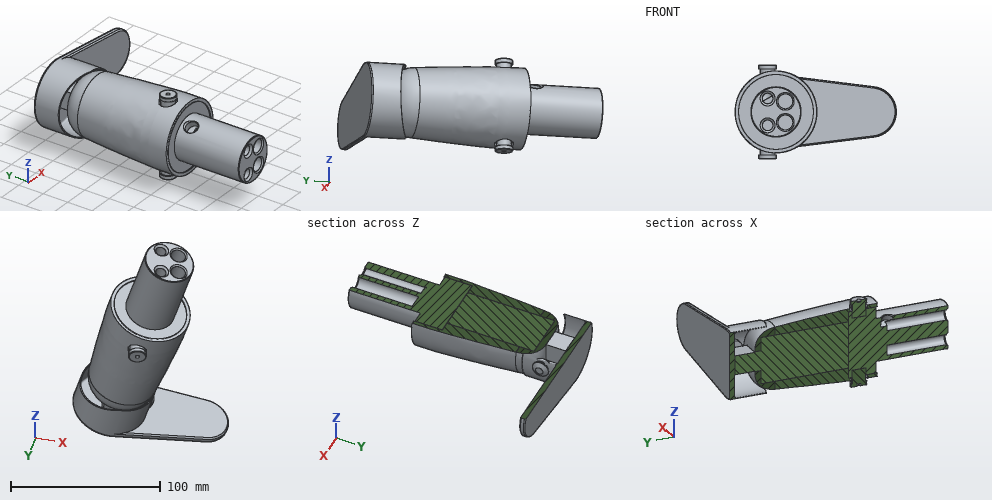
import cadquery as cq
import math

TOTAL_LENGTH = 160.8

SHANK_RADIUS = 16.9
SHANK_CHAMFER = 0.5
FLANGE_RADIUS = 25.0
FLANGE_RECESS = 0.8

SMALL_BORE_X = -5.6
SMALL_BORE_Z = 9.0
SMALL_BORE_RADIUS = 3.5
SMALL_BORE_MOUTH_RADIUS = 5.0
PORT_Y = 44.8
PORT_ANGLE = 30.0
PORT_RADIUS = 4.5
PORT_MOUTH_RADIUS = 5.6

LARGE_BORE_X = 6.3
LARGE_BORE_Z = 7.0
LARGE_BORE_RADIUS = 5.0
LARGE_BORE_MOUTH_RADIUS = 6.0

HOUSING_RADIUS = 27.5
HOUSING_BOTTOM_Y = 52.0
COLLAR_TOP_Y = 66.4
SHOULDER_Y = 73.3
SHOULDER_RADIUS = 27.2
HOUSING_TOP_Y = 127.2
HOUSING_TOP_RADIUS = 23.6
HOUSING_BULGE = 0.24

BUTTON_X = -5.6
BUTTON_Y = 65.6
BUTTON_SPAN = 63.2
BUTTON_TIP_Z = BUTTON_SPAN / 2
BUTTON_HEAD_RADIUS = 6.0
BUTTON_HEAD_HEIGHT = 2.9
BUTTON_HEAD_CHAMFER = 0.5
BUTTON_NECK_RADIUS = 5.0
BUTTON_SEAT_Z = 19.3
BUTTON_CLEARANCE_RADIUS = 6.3
BUTTON_SOCKET_RADIUS = 1.3
BUTTON_SOCKET_DEPTH = 1.6

NUT_HEIGHT = 15.0
NUT_CROWN_RADIUS = 10.5
NUT_ROOF_THICKNESS = 4.8

CARTRIDGE_RADIUS = 17.7
STEM_SIDE = 14.1

CAP_X = -1.3
CAP_RADIUS = 25.0
CAP_WALL = 0.8
CAP_BOTTOM_Y = 132.0
CAP_CUT_TOP_Y = 141.0
CAP_CEILING_FILLET = 1.3
LEVER_END_X = 63.7
LEVER_END_RADIUS = 17.0
LEVER_THICKNESS = 4.2
LEVER_CHAMFER = 1.0
LEVER_TOP_CHAMFER_WIDTH = 0.3

PLUG_Y = 145.6
PLUG_RADIUS = 6.0
PLUG_INNER_X = 19.3
PLUG_EDGE_X = 23.8
PLUG_TIP_X = 25.5
PLUG_TIP_RADIUS = 2.7

FLANGE_BOTTOM_Y = HOUSING_BOTTOM_Y + FLANGE_RECESS
NUT_TOP_Y = HOUSING_TOP_Y + NUT_HEIGHT
CARTRIDGE_TOP_Y = NUT_TOP_Y - NUT_ROOF_THICKNESS
CAP_CEILING_Y = TOTAL_LENGTH - LEVER_THICKNESS


def cylinder(start, direction, length, radius):
    """Round bar from a start point along a direction."""
    return cq.Workplane(cq.Solid.makeCylinder(radius, length, cq.Vector(*start), cq.Vector(*direction)))


def along_y(radius, bottom, top, x=0.0):
    """Round bar parallel to Y between two heights."""
    return cylinder((x, bottom, 0), (0, 1, 0), top - bottom, radius)


def revolve_about_y(profile):
    """Full turn of an XY profile about the Y axis."""
    return profile.close().revolve(360, (0, 0, 0), (0, 1, 0))


def countersunk_cutter(start, direction, length, radius, mouth_radius):
    """Round hole cutter whose mouth at the start is widened by a 45 degree cone."""
    mouth_depth = mouth_radius - radius
    cone = cq.Solid.makeCone(mouth_radius, radius, mouth_depth, cq.Vector(*start), cq.Vector(*direction))
    return cylinder(start, direction, length, radius).union(cq.Workplane(cone))


def waterways(side):
    """Small and large bores on the side Z > 0 (side = 1) or Z < 0 (side = -1)."""
    small = countersunk_cutter(
        (SMALL_BORE_X, 0, side * SMALL_BORE_Z), (0, 1, 0), PORT_Y,
        SMALL_BORE_RADIUS, SMALL_BORE_MOUTH_RADIUS,
    )
    large = countersunk_cutter(
        (LARGE_BORE_X, 0, side * LARGE_BORE_Z), (0, 1, 0), PORT_Y,
        LARGE_BORE_RADIUS, LARGE_BORE_MOUTH_RADIUS,
    )
    return small.union(large)


def slanted_port():
    """Radial hole from the side of the shank into the upper small bore."""
    outward_x = -math.sin(math.radians(PORT_ANGLE))
    outward_z = math.cos(math.radians(PORT_ANGLE))
    depth = SHANK_RADIUS - math.hypot(SMALL_BORE_X, SMALL_BORE_Z)
    return countersunk_cutter(
        (SHANK_RADIUS * outward_x, PORT_Y, SHANK_RADIUS * outward_z), (-outward_x, 0, -outward_z),
        depth, PORT_RADIUS, PORT_MOUTH_RADIUS,
    )


def button_seat(side):
    """Socket for a button's neck in the flange."""
    return cylinder(
        (BUTTON_X, BUTTON_Y, side * BUTTON_SEAT_Z), (0, 0, side), BUTTON_TIP_Z - BUTTON_SEAT_Z, BUTTON_NECK_RADIUS
    )


def make_base():
    shank = along_y(SHANK_RADIUS, 0, FLANGE_BOTTOM_Y).faces("<Y").chamfer(SHANK_CHAMFER)
    base = shank.union(along_y(FLANGE_RADIUS, FLANGE_BOTTOM_Y, SHOULDER_Y))
    for side in (1, -1):
        base = base.cut(waterways(side)).cut(button_seat(side))
    return base.cut(slanted_port())


def make_housing():
    waist_radius = (SHOULDER_RADIUS + HOUSING_TOP_RADIUS) / 2 + HOUSING_BULGE
    housing = revolve_about_y(
        cq.Workplane("XY")
        .moveTo(CARTRIDGE_RADIUS, HOUSING_TOP_Y)
        .lineTo(CARTRIDGE_RADIUS, SHOULDER_Y)
        .lineTo(FLANGE_RADIUS, SHOULDER_Y)
        .lineTo(FLANGE_RADIUS, HOUSING_BOTTOM_Y)
        .lineTo(HOUSING_RADIUS, HOUSING_BOTTOM_Y)
        .lineTo(HOUSING_RADIUS, COLLAR_TOP_Y)
        .lineTo(SHOULDER_RADIUS, SHOULDER_Y)
        .threePointArc((waist_radius, (SHOULDER_Y + HOUSING_TOP_Y) / 2), (HOUSING_TOP_RADIUS, HOUSING_TOP_Y))
    )
    for side in (1, -1):
        housing = housing.cut(
            cylinder((BUTTON_X, BUTTON_Y, 0), (0, 0, side), BUTTON_TIP_Z, BUTTON_CLEARANCE_RADIUS)
        )
    return housing


def make_button(side):
    head_base_z = BUTTON_TIP_Z - BUTTON_HEAD_HEIGHT
    neck_length = head_base_z - BUTTON_SEAT_Z
    neck = cylinder((BUTTON_X, BUTTON_Y, side * BUTTON_SEAT_Z), (0, 0, side), neck_length, BUTTON_NECK_RADIUS)
    head = cylinder(
        (BUTTON_X, BUTTON_Y, side * head_base_z), (0, 0, side), BUTTON_HEAD_HEIGHT, BUTTON_HEAD_RADIUS
    )
    head = head.faces(">Z" if side > 0 else "<Z").chamfer(BUTTON_HEAD_CHAMFER)
    socket = cylinder(
        (BUTTON_X, BUTTON_Y, side * BUTTON_TIP_Z), (0, 0, -side), BUTTON_SOCKET_DEPTH, BUTTON_SOCKET_RADIUS
    )
    return neck.union(head).cut(socket)


def square_stem(bottom, top):
    """Square bar on the Y axis between two heights."""
    return cq.Workplane("XZ", origin=(0, bottom, 0)).rect(STEM_SIDE, STEM_SIDE).extrude(bottom - top)


def make_nut():
    blank = revolve_about_y(
        cq.Workplane("XY")
        .moveTo(0, HOUSING_TOP_Y)
        .lineTo(HOUSING_TOP_RADIUS, HOUSING_TOP_Y)
        .ellipseArc(
            HOUSING_TOP_RADIUS - NUT_CROWN_RADIUS, NUT_HEIGHT, angle1=0, angle2=90, sense=1, startAtCurrent=True
        )
        .lineTo(0, NUT_TOP_Y)
    )
    bore = along_y(CARTRIDGE_RADIUS, HOUSING_TOP_Y, CARTRIDGE_TOP_Y)
    return blank.cut(bore).cut(square_stem(HOUSING_TOP_Y, NUT_TOP_Y))


def make_cartridge():
    barrel = along_y(CARTRIDGE_RADIUS, SHOULDER_Y, CARTRIDGE_TOP_Y)
    return barrel.union(square_stem(SHOULDER_Y, CAP_CEILING_Y))


def lever_blank():
    """Outline of two circles joined by their common tangents, thickened along Y."""
    slope = math.asin((CAP_RADIUS - LEVER_END_RADIUS) / (LEVER_END_X - CAP_X))
    cap_tangent = (CAP_X + CAP_RADIUS * math.sin(slope), CAP_RADIUS * math.cos(slope))
    end_tangent = (LEVER_END_X + LEVER_END_RADIUS * math.sin(slope), LEVER_END_RADIUS * math.cos(slope))
    return (
        cq.Workplane("XZ", origin=(0, TOTAL_LENGTH, 0))
        .moveTo(*cap_tangent)
        .lineTo(*end_tangent)
        .threePointArc((LEVER_END_X + LEVER_END_RADIUS, 0), (end_tangent[0], -end_tangent[1]))
        .lineTo(cap_tangent[0], -cap_tangent[1])
        .threePointArc((CAP_X - CAP_RADIUS, 0), cap_tangent)
        .close()
        .extrude(LEVER_THICKNESS)
        .faces("<Y")
        .chamfer(LEVER_CHAMFER)
    )


def make_handle():
    cap = along_y(CAP_RADIUS, CAP_BOTTOM_Y, TOTAL_LENGTH, x=CAP_X)
    handle = cap.union(lever_blank())
    top_face = handle.faces(">Y").val()
    handle = cq.Workplane(
        handle.val().chamfer(LEVER_CHAMFER, LEVER_TOP_CHAMFER_WIDTH, top_face.Edges())
    )
    cavity = along_y(CAP_RADIUS - CAP_WALL, CAP_BOTTOM_Y, CAP_CEILING_Y, x=CAP_X)
    cavity = cavity.faces(">Y").edges().fillet(CAP_CEILING_FILLET)
    cap_left_x = CAP_X - CAP_RADIUS
    slanted_cut = (
        cq.Workplane("XY")
        .polyline([(CAP_X, CAP_BOTTOM_Y), (cap_left_x, CAP_CUT_TOP_Y), (cap_left_x, CAP_BOTTOM_Y)])
        .close()
        .extrude(CAP_RADIUS, both=True)
    )
    plug_hole = cylinder((PLUG_INNER_X, PLUG_Y, 0), (1, 0, 0), PLUG_TIP_X - PLUG_INNER_X, PLUG_RADIUS)
    return handle.cut(cavity).cut(slanted_cut).cut(plug_hole)


def make_plug():
    return (
        cq.Workplane("XY", origin=(0, PLUG_Y, 0))
        .moveTo(PLUG_INNER_X, 0)
        .lineTo(PLUG_INNER_X, PLUG_RADIUS)
        .lineTo(PLUG_EDGE_X, PLUG_RADIUS)
        .lineTo(PLUG_TIP_X, PLUG_TIP_RADIUS)
        .lineTo(PLUG_TIP_X, 0)
        .close()
        .revolve(360, (0, 0, 0), (1, 0, 0))
    )


base = make_base()
housing = make_housing()
nut = make_nut()
cartridge = make_cartridge()
handle = make_handle()
plug = make_plug()
buttons = [make_button(side) for side in (1, -1)]

result = cq.Compound.makeCompound(
    [base.val(), housing.val(), nut.val(), cartridge.val(), handle.val(), plug.val()]
    + [button.val() for button in buttons]
)